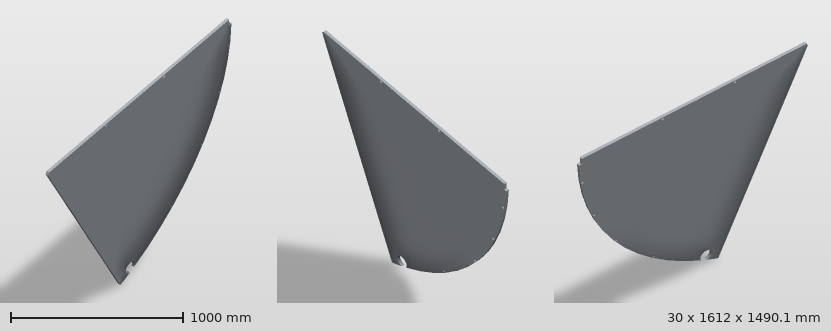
import cadquery as cq
import math

width = 1612.0
height = 1490.0
depth = 30.0
thickness = 20.0
lean = math.degrees(math.atan((depth - thickness) / height))

tip_drop = 18.0
tip_setback = 11.0
notch_width = 20.0
notch_height = 48.0
lower_corner_y = 624.0
rim_radius = 1621.0

small_hole_diameter = 20.0
top_hole_drop = 13.0
top_hole_positions = (513.0, 1020.0)
rim_hole_positions = ((1585.0, -210.0), (1500.0, -550.0), (1344.0, -870.0), (1077.0, -1186.0))
cutout_diameter = 79.0
cutout_center = (710.0, -1412.0)


def make_panel():
    """Sector with a clipped tip, a notched top corner and a circular rim."""
    start = (width, -notch_height)
    end = (lower_corner_y, -height)
    chord = math.dist(start, end)
    bulge = rim_radius - math.sqrt(rim_radius**2 - (chord / 2) ** 2)
    rim_middle = (
        (start[0] + end[0]) / 2 + bulge * (start[1] - end[1]) / chord,
        (start[1] + end[1]) / 2 - bulge * (start[0] - end[0]) / chord,
    )
    return (
        cq.Workplane("YZ")
        .moveTo(0, -tip_drop)
        .lineTo(tip_setback, 0)
        .lineTo(width - notch_width, 0)
        .lineTo(width - notch_width, -notch_height)
        .lineTo(*start)
        .threePointArc(rim_middle, end)
        .close()
        .extrude(thickness)
    )


def hole_cutter(centers, diameter):
    """Cylinders running through the full thickness at the given centers."""
    return cq.Workplane("YZ").pushPoints(centers).circle(diameter / 2).extrude(thickness)


top_holes = [(y, -top_hole_drop) for y in top_hole_positions]
panel = make_panel()
panel = panel.cut(hole_cutter(top_holes + list(rim_hole_positions), small_hole_diameter))

panel = panel.cut(hole_cutter([cutout_center], cutout_diameter))

result = panel.rotate((0, 0, 0), (0, 1, 0), -lean)